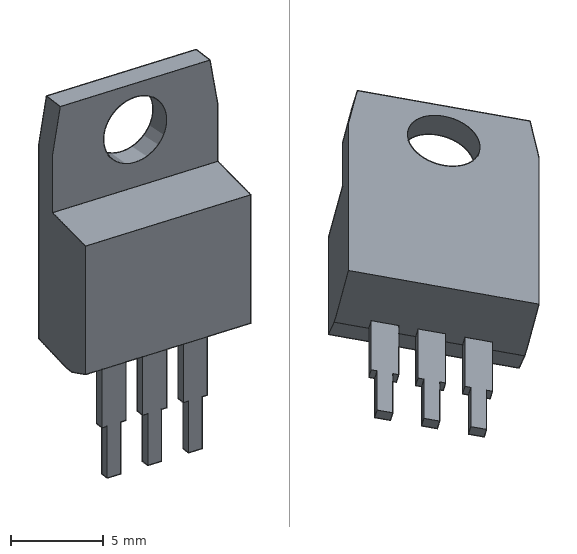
import cadquery as cq

body_width = 10.55
body_depth = 4.7
total_height = 22.52

tab_thickness = 1.4
taper_start_z = 19.65
taper_inset = 0.5
hole_diameter = 4.0

body_bottom_z = 7.2
bevel_top_z = 7.7
body_front_top_z = 15.63
body_back_top_z = 16.12

lead_count = 3
lead_pitch = 2.6
lead_back_x = 2.8
lead_thickness = 0.56
lead_wide = 1.53
lead_narrow = 0.88
lead_step_z = 3.2


def make_body():
    """Side profile of tab and body, extruded symmetrically across the width."""
    profile = [
        (0, bevel_top_z),
        (lead_back_x, body_bottom_z),
        (lead_back_x + lead_thickness, body_bottom_z),
        (body_depth, bevel_top_z),
        (body_depth, body_front_top_z),
        (tab_thickness, body_back_top_z),
        (tab_thickness, total_height),
        (0, total_height),
    ]
    return cq.Workplane("XZ").polyline(profile).close().extrude(body_width / 2, both=True)


def make_corner_cut(side):
    """Wedge that tapers one upper edge of the tab; side is -1 or 1."""
    edge_y = side * body_width / 2
    wedge = [
        (edge_y, taper_start_z),
        (edge_y, total_height),
        (edge_y - side * taper_inset, total_height),
    ]
    return cq.Workplane("YZ").polyline(wedge).close().extrude(tab_thickness)


def make_lead(center_y):
    """Flat lead with a wide root and a narrow tip."""
    profile = [
        (center_y - lead_wide / 2, body_bottom_z),
        (center_y - lead_wide / 2, lead_step_z),
        (center_y - lead_narrow / 2, lead_step_z),
        (center_y - lead_narrow / 2, 0),
        (center_y + lead_narrow / 2, 0),
        (center_y + lead_narrow / 2, lead_step_z),
        (center_y + lead_wide / 2, lead_step_z),
        (center_y + lead_wide / 2, body_bottom_z),
    ]
    plane = cq.Workplane("YZ", origin=(lead_back_x, 0, 0))
    return plane.polyline(profile).close().extrude(lead_thickness)


result = make_body()

for side in (-1, 1):
    result = result.cut(make_corner_cut(side))

hole = cq.Workplane("YZ").center(0, taper_start_z).circle(hole_diameter / 2).extrude(tab_thickness)
result = result.cut(hole)

for index in range(lead_count):
    lead_y = (index - (lead_count - 1) / 2) * lead_pitch
    result = result.union(make_lead(lead_y))